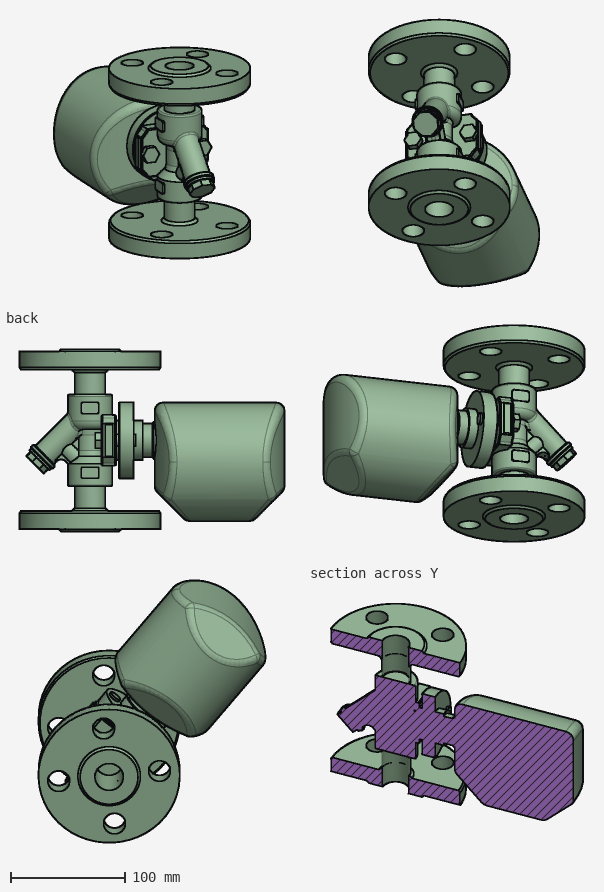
import cadquery as cq
import math


overall_length = 232.7
total_height = 160.0
flange_diameter = 124.0
raised_face_height = 2.0
raised_face_diameter = 50.7
raised_face_base_diameter = 55.0
flange_thickness = 16.0
flange_chamfer_length = 2.0
flange_chamfer_depth = 1.5
pipe_diameter = 27.0
weld_neck_height = 2.5
bore_diameter = 25.0
bolt_hole_diameter = 19.0
bolt_hole_count = 4
bolt_start_angle = 45
bolt_circle_diameter = 89.0

body_diameter = 39.0
body_half_height = 40.3
body_edge_radius = 1.5
upper_shoulder_z = 17.0
lower_shoulder_z = -20.7
shoulder_size = 7.5
lower_shoulder_size = 6.7
neck_diameter = 23.0
neck_top_z = 5.0
neck_bottom_z = -8.8
pad_width = 15.5
pad_height = 10.0
pad_corner_radius = 1.9
pad_center_z = 28.5
pad_face_y = 19.8

branch_slope = 45
branch_axis_z = 27.0
branch_diameter = 23.0
branch_collar_start = 37.2
branch_collar_end = 41.5
branch_collar_diameter = 27.0
branch_cap_end = 43.7
branch_cap_diameter = 25.0
branch_plug_end = 49.3
branch_plug_sides = 8
branch_plug_corners = 23.0
branch_plug_turn = 108
branch_start = -4.7
branch_root_radius = 3.0
collar_chamfer = 0.7
seat_tube_diameter = 17.0
seat_tube_start_x = 7.0
seat_tube_start_z = -21.0
seat_tube_length = 21.0
web_thickness = 11.6
web_arch_top_x = 24.5
web_arch_top_z = -17.0
web_arch_end_x = 30.7
web_arch_end_z = -19.8

yoke_back_x = -23.0
yoke_front_x = -10.0
yoke_half_height = 22.3
yoke_half_width = 32.0
yoke_corner_width = 4.5
yoke_corner_height = 5.1
yoke_lip_width = 1.5
yoke_lip_height = 2.5
yoke_edge_chamfer = 1.2
rib_width = 6.5
rib_height = 29.8
rib_rise = 1.6
rib_end_chamfer = 1.2
disc_diameter = 67.0
disc_back_x = -38.2
disc_front_x = -25.4
disc_edge_chamfer = 0.7
collar_diameter = 35.0
collar_back_x = -46.3
stem_diameter = 30.0
stem_end_flare = 1.5
stem_flare_length = 1.9
bolt_diameter = 10.5
bolt_offset_y = 25.1
bolt_head_x = -40.3
nut_sides = 6
nut_flats = 13.5
nut_end_x = -4.5

housing_diameter = 104.2
housing_axis_z = -18.8
housing_back_x = flange_diameter / 2 - overall_length
housing_front_x = -56.5
housing_end_radius = 97.7
housing_bevel = 28.0
housing_edge_radius = 7.7

overlap = 2.3

body_radius = body_diameter / 2
neck_radius = neck_diameter / 2
pipe_radius = pipe_diameter / 2


def rod_x(diameter, start_x, end_x, y=0, z=0):
    """Cylinder along X between two X positions."""
    plane = cq.Workplane("YZ", origin=(start_x, y, z))
    return plane.circle(diameter / 2).extrude(end_x - start_x)


def make_pipe_end():
    """Upper pipe stub with its flange, solid, turned about Z."""
    top_z = total_height / 2
    flange_top_z = top_z - raised_face_height
    flange_bottom_z = flange_top_z - flange_thickness
    flange_radius = flange_diameter / 2
    profile = (
        cq.Workplane("XZ")
        .moveTo(0, body_half_height - overlap)
        .lineTo(pipe_radius, body_half_height - overlap)
        .lineTo(pipe_radius, flange_bottom_z - weld_neck_height)
        .lineTo(pipe_radius + weld_neck_height, flange_bottom_z)
        .lineTo(flange_radius - flange_chamfer_depth, flange_bottom_z)
        .lineTo(flange_radius, flange_bottom_z + flange_chamfer_length)
        .lineTo(flange_radius, flange_top_z)
        .lineTo(raised_face_base_diameter / 2, flange_top_z)
        .lineTo(raised_face_diameter / 2, top_z)
        .lineTo(0, top_z)
        .close()
    )
    pipe_end = profile.revolve(360, (0, 0, 0), (0, 1, 0))
    bolt_holes = (
        cq.Workplane("XY", origin=(0, 0, flange_bottom_z - overlap))
        .polarArray(bolt_circle_diameter / 2, bolt_start_angle, 360, bolt_hole_count)
        .circle(bolt_hole_diameter / 2)
        .extrude(flange_thickness + 2 * overlap)
    )
    return pipe_end.cut(bolt_holes)


def make_bore():
    """Bore of the upper pipe, ending at the valve body."""
    plane = cq.Workplane("XY", origin=(0, 0, body_half_height))
    return plane.circle(bore_diameter / 2).extrude(total_height / 2 - body_half_height)


def mirrored_pair(shape):
    """Shape together with its mirror image below the XY plane."""
    return shape.union(shape.mirror("XY"))


def make_body():
    """Waisted valve body, turned about Z."""
    lower_waist_radius = body_radius - lower_shoulder_size
    lower_waist_z = lower_shoulder_z + lower_shoulder_size
    upper_waist_z = upper_shoulder_z - shoulder_size
    bend = math.sqrt(0.5)
    body = (
        cq.Workplane("XZ")
        .moveTo(0, -body_half_height)
        .lineTo(body_radius, -body_half_height)
        .lineTo(body_radius, lower_shoulder_z)
        .lineTo(lower_waist_radius, lower_waist_z)
        .lineTo(neck_radius, neck_bottom_z)
        .lineTo(neck_radius, neck_top_z)
        .lineTo(body_radius - shoulder_size, upper_waist_z)
        .threePointArc(
            (body_radius - shoulder_size * (1 - bend), upper_shoulder_z - shoulder_size * bend),
            (body_radius, upper_shoulder_z),
        )
        .lineTo(body_radius, body_half_height)
        .lineTo(0, body_half_height)
        .close()
        .revolve(360, (0, 0, 0), (0, 1, 0))
    )
    return body.faces("<Z or >Z").edges().fillet(body_edge_radius)


def make_pads():
    """Upper block whose ends show as flat pads on both sides of the body."""
    block = cq.Workplane("XY").box(pad_width, 2 * pad_face_y, pad_height)
    return block.edges("|Y").fillet(pad_corner_radius).translate((0, 0, pad_center_z))


def make_branch_plane():
    """Plane across the slanted branch, at the point of its axis closest to the origin."""
    slope = math.radians(branch_slope)
    axis_distance = branch_axis_z * math.cos(slope)
    plane = cq.Plane(
        origin=(axis_distance * math.sin(slope), 0, axis_distance * math.cos(slope)),
        xDir=(0, 1, 0),
        normal=(math.cos(slope), 0, -math.sin(slope)),
    )
    return cq.Workplane(plane)


def make_body_with_branch():
    """Valve body and branch tube, blended where they meet."""
    tube = (
        make_branch_plane()
        .workplane(offset=branch_start)
        .circle(branch_diameter / 2)
        .extrude(branch_collar_end - branch_start)
    )
    return make_body().union(tube).edges("%BSPLINE").fillet(branch_root_radius)


def make_branch_end():
    """Collar, cap and eight-sided plug that close the branch."""
    plane = make_branch_plane()
    collar = (
        plane.workplane(offset=branch_collar_start)
        .circle(branch_collar_diameter / 2)
        .extrude(branch_collar_end - branch_collar_start)
        .edges()
        .chamfer(collar_chamfer)
    )
    cap = (
        plane.workplane(offset=branch_collar_start)
        .circle(branch_cap_diameter / 2)
        .extrude(branch_cap_end - branch_collar_start)
    )
    plug = (
        plane.workplane(offset=branch_collar_start)
        .transformed(rotate=(0, 0, branch_plug_turn))
        .polygon(branch_plug_sides, branch_plug_corners)
        .extrude(branch_plug_end - branch_collar_start)
    )
    return collar.union(cap).union(plug)


def make_seat_tube():
    """Short tube that rises from the lower body to the branch, square to it."""
    slope = math.radians(branch_slope)
    seat_plane = cq.Plane(
        origin=(seat_tube_start_x, 0, seat_tube_start_z),
        xDir=(0, 1, 0),
        normal=(math.sin(slope), 0, math.cos(slope)),
    )
    return cq.Workplane(seat_plane).circle(seat_tube_diameter / 2).extrude(seat_tube_length)


def make_web():
    """Upright web that fills the fork between the branch and the lower body."""
    web = (
        cq.Workplane("XZ", origin=(0, web_thickness / 2, 0))
        .moveTo(0, lower_shoulder_z)
        .lineTo(body_radius, lower_shoulder_z)
        .threePointArc((web_arch_top_x, web_arch_top_z), (web_arch_end_x, web_arch_end_z))
        .lineTo(web_arch_end_x, branch_axis_z - web_arch_end_x)
        .lineTo(neck_radius, branch_axis_z - neck_radius)
        .lineTo(0, neck_top_z)
        .close()
        .extrude(web_thickness)
    )
    return web


def make_yoke():
    """Block with bevelled corners, ribs on both sides, clamped by two bolts."""
    depth = yoke_front_x - yoke_back_x
    middle_x = (yoke_front_x + yoke_back_x) / 2
    bevel_y = yoke_half_width - yoke_corner_width
    lip_z = yoke_half_height - yoke_lip_height
    corner = [
        (yoke_half_width, lip_z - yoke_corner_height),
        (bevel_y, lip_z),
        (bevel_y - yoke_lip_width, yoke_half_height),
    ]
    upper_outline = corner + [(-y, z) for y, z in reversed(corner)]
    lower_outline = [(-y, -z) for y, z in upper_outline]
    yoke = (
        cq.Workplane("YZ", origin=(yoke_back_x, 0, 0))
        .polyline(upper_outline + lower_outline)
        .close()
        .extrude(depth)
        .faces("<X or >X")
        .chamfer(yoke_edge_chamfer)
    )
    ribs = cq.Workplane("XY").box(rib_width, 2 * (yoke_half_width + rib_rise), rib_height)
    ribs = ribs.edges("|X").chamfer(rib_end_chamfer)
    yoke = yoke.union(ribs.translate((middle_x, 0, 0)))
    for y in (-bolt_offset_y, bolt_offset_y):
        yoke = yoke.union(rod_x(bolt_diameter, bolt_head_x, yoke_front_x, y))
        nut = (
            cq.Workplane("YZ", origin=(yoke_front_x, y, 0))
            .polygon(nut_sides, nut_flats / math.cos(math.pi / nut_sides))
            .extrude(nut_end_x - yoke_front_x)
        )
        yoke = yoke.union(nut)
    return yoke


def make_stem():
    """Stepped round stem from the valve body to the housing, with the large disc."""
    stem = rod_x(stem_diameter, housing_front_x - overlap, collar_back_x)
    flare_diameter = stem_diameter + 2 * stem_end_flare
    flare = rod_x(flare_diameter, housing_front_x - overlap, housing_front_x + stem_flare_length)
    flare = flare.faces(">X").edges().chamfer(stem_end_flare)
    collar = rod_x(collar_diameter, collar_back_x, yoke_back_x)
    disc = rod_x(disc_diameter, disc_back_x, disc_front_x)
    disc = disc.faces(">X").edges().chamfer(disc_edge_chamfer)
    return stem.union(flare).union(collar).union(disc)


def make_housing():
    """Cylinder along X with bulging ends, both bevelled at 45 degrees below."""
    radius = housing_diameter / 2
    sagitta = housing_end_radius - math.sqrt(housing_end_radius**2 - radius**2)
    bottom_z = housing_axis_z - radius
    cylinder = rod_x(housing_diameter, housing_back_x, housing_front_x, z=housing_axis_z)
    plan = (
        cq.Workplane("XY", origin=(0, 0, bottom_z))
        .moveTo(housing_back_x + sagitta, -radius)
        .lineTo(housing_front_x - sagitta, -radius)
        .threePointArc((housing_front_x, 0), (housing_front_x - sagitta, radius))
        .lineTo(housing_back_x + sagitta, radius)
        .threePointArc((housing_back_x, 0), (housing_back_x + sagitta, -radius))
        .close()
        .extrude(housing_diameter)
    )
    housing = cylinder.intersect(plan)
    for end_x, inward in ((housing_back_x, 1), (housing_front_x, -1)):
        bevel = (
            cq.Workplane("XZ", origin=(0, radius, 0))
            .moveTo(end_x, bottom_z)
            .lineTo(end_x + inward * housing_bevel, bottom_z)
            .lineTo(end_x, bottom_z + housing_bevel)
            .close()
            .extrude(housing_diameter)
        )
        housing = housing.cut(bevel)
    return housing.edges().fillet(housing_edge_radius)


result = mirrored_pair(make_pipe_end())
features = (
    make_body_with_branch(),
    mirrored_pair(make_pads()),
    make_branch_end(),
    make_seat_tube(),
    make_web(),
    make_yoke(),
    make_stem(),
    make_housing(),
)
for feature in features:
    result = result.union(feature)
result = result.cut(mirrored_pair(make_bore()))